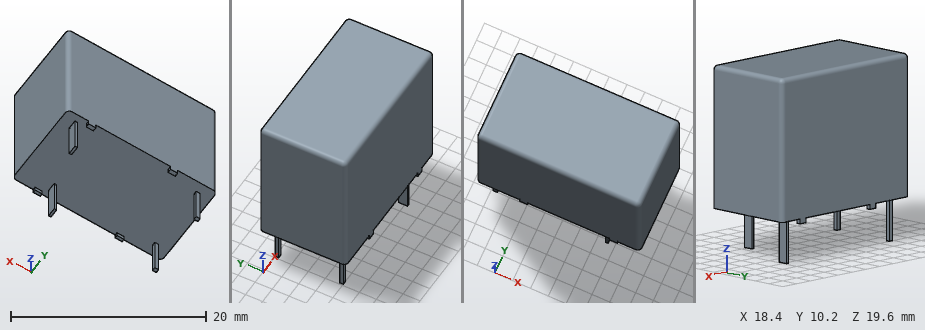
import cadquery as cq

total_height = 19.6
case_length = 18.4
case_width = 10.21
case_height = 15.0
edge_radius = 0.5

tab_length = 0.88
front_tab_depth = 0.35
back_tab_depth = 0.45
tab_height = 0.5
tab_centers_x = (-3.9, 6.2)

pin_length = total_height - case_height
row_spacing = 7.6
row_y = row_spacing / 2
coil_to_contact_span = 15.25
contact_pitch = 2.55
coil_x = -7.59
outer_contact_x = coil_x + coil_to_contact_span
inner_contact_x = outer_contact_x - contact_pitch
coil_pin_x_size = 0.49
coil_pin_y_size = 0.43
contact_pin_thickness = 0.3
contact_pin_width = 1.05


def hanging_block(center_x, center_y, size_x, size_y, drop):
    """Rectangular block that hangs down from the underside of the case."""
    return (
        cq.Workplane("XY")
        .center(center_x, center_y)
        .rect(size_x, size_y)
        .extrude(-drop)
    )


def make_case():
    """Box with every edge rounded except those around the flat underside."""
    box = cq.Workplane("XY").box(case_length, case_width, case_height, centered=(True, True, False))
    return box.edges("|Z or >Z").fillet(edge_radius)


result = make_case()

for side, tab_depth in ((-1, front_tab_depth), (1, back_tab_depth)):
    tab_y = side * (case_width - tab_depth) / 2
    for tab_x in tab_centers_x:
        result = result.union(hanging_block(tab_x, tab_y, tab_length, tab_depth, tab_height))

for side in (-1, 1):
    result = result.union(
        hanging_block(coil_x, side * row_y, coil_pin_x_size, coil_pin_y_size, pin_length)
    )

for contact_x, contact_y in ((inner_contact_x, -row_y), (outer_contact_x, row_y)):
    result = result.union(
        hanging_block(contact_x, contact_y, contact_pin_thickness, contact_pin_width, pin_length)
    )